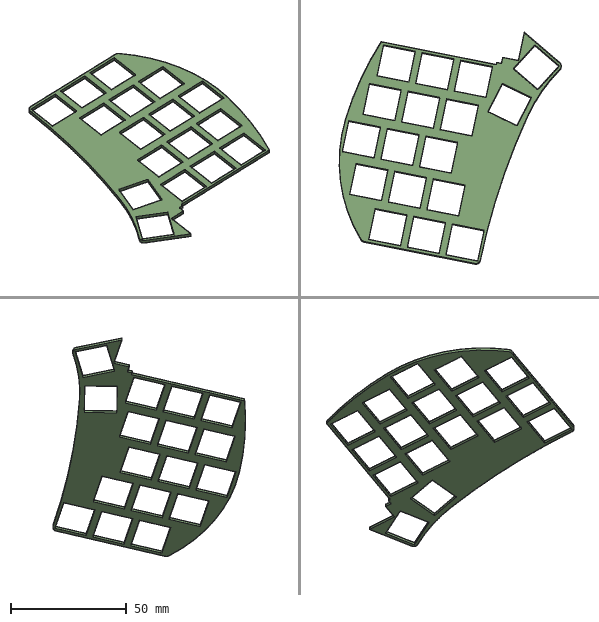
import cadquery as cq

thickness = 1.6
plate_length = 105.0

opening_size = 14.0
column_span = 72.0
row_pitch = 17.0
row_count = 3
first_column_x = 8.3
bottom_row_heights = [25.1, 37.2, 44.1, 38.6, 36.1]
column_pitch = column_span / (len(bottom_row_heights) - 1)
thumb_openings = [
    (72.2, 18.5, -15),
    (90.8, 10.5, -30),
]

left_bottom = (0, 17.0)
left_top = (0, 68.8)
corner_radius = 2.0

crown_radius = 67.7
crown_end = (51.8, 86.6)
shoulder_end = (88.5, 78.4)

small_step_width = 0.9
small_step_y = 27.7
large_step_width = 2.7
large_step_y = 25.6
tip_top_y = 18.7

tip_bottom = (93.8, -0.8)
thumb_arc_radius = 72.5
thumb_arc_end = (68.7, 9.9)
sweep_radius = 305.3


def plate():
    """Solid plate with its three rounded corners."""
    right_x, _ = shoulder_end
    small_step_x = right_x + small_step_width
    large_step_x = small_step_x + large_step_width
    body = (
        cq.Workplane("XY")
        .moveTo(*left_bottom)
        .lineTo(*left_top)
        .radiusArc(crown_end, crown_radius)
        .tangentArcPoint(shoulder_end, relative=False)
        .lineTo(right_x, small_step_y)
        .lineTo(small_step_x, small_step_y)
        .lineTo(small_step_x, large_step_y)
        .lineTo(large_step_x, large_step_y)
        .lineTo(large_step_x, tip_top_y)
        .lineTo(plate_length, tip_top_y)
        .lineTo(*tip_bottom)
        .radiusArc(thumb_arc_end, -thumb_arc_radius)
        .radiusArc(left_bottom, -sweep_radius)
        .close()
        .extrude(thickness)
    )
    for x, y in (left_bottom, left_top, tip_bottom):
        corner = cq.selectors.NearestToPointSelector((x, y, thickness / 2))
        body = body.edges("|Z").edges(corner).fillet(corner_radius)
    return body


def opening(x, y, rotation=0):
    """Cutter for one square switch opening."""
    square = cq.Workplane("XY").rect(opening_size, opening_size).extrude(thickness)
    return square.rotate((0, 0, 0), (0, 0, 1), rotation).translate((x, y, 0))


result = plate()
for column, bottom_row_y in enumerate(bottom_row_heights):
    column_x = first_column_x + column * column_pitch
    for row in range(row_count):
        result = result.cut(opening(column_x, bottom_row_y + row * row_pitch))
for thumb_x, thumb_y, rotation in thumb_openings:
    result = result.cut(opening(thumb_x, thumb_y, rotation))